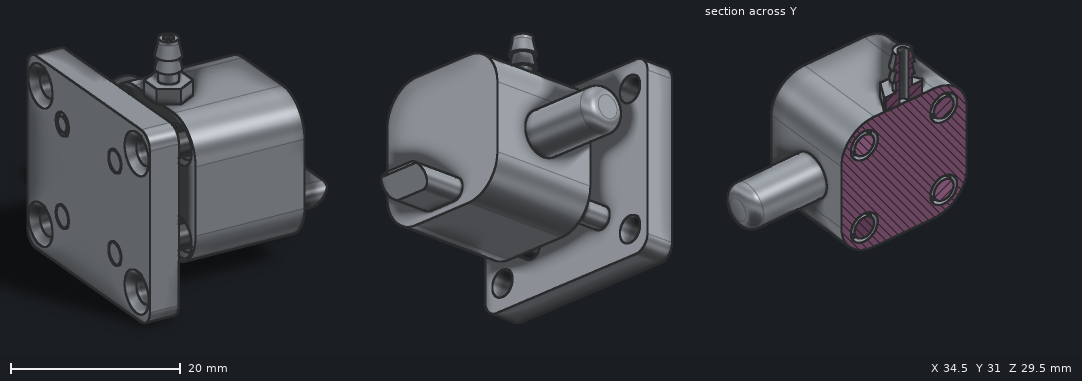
import cadquery as cq
import math


plate_width = 28.0
plate_height = 25.0
plate_thickness = 4.0
plate_corner_radius = 2.0
screw_spacing_x = 22.0
screw_spacing_z = 18.0
screw_hole_diameter = 3.5
countersink_diameter = 5.5

countersink_angle = 90.0

plate_gap = 5.0
housing_size = 19.0
housing_depth = 15.0
housing_corner_radius = 5.0
housing_front = plate_thickness + plate_gap
housing_back = housing_front + housing_depth

plunger_diameter = 6.0
plunger_length = 11.0
plunger_nose_radius = 1.5

tongue_width = 7.0
tongue_height = 3.0
tongue_length = 7.0
tongue_center_z = -7.0
tongue_lip_height = 0.4
tongue_bevel_length = 2.0

pin_diameter = 3.0
pin_spacing = 12.0
pin_chamfer = 0.15
marked_pin_chamfer = 0.5
pin_socket_depth = 5.0
clearance_diameter = 4.0
clearance_mouth_diameter = 5.2
clearance_depth = 3.0

fitting_setback = 2.0
hex_across_flats = 5.0
hex_height = 2.0
stem_diameter = 2.5
barb_diameter = 3.3
fitting_bore_diameter = 1.3
stem_length = 1.5
barb_length = 1.75
barb_count = 2
fitting_tip_length = 0.5

half_pitch = pin_spacing / 2
pin_places = [(x, z) for z in (half_pitch, -half_pitch) for x in (-half_pitch, half_pitch)]
marked_pin_place = (-half_pitch, half_pitch)


def face_plane(y):
    """Plane across Y with local axes X and Z; positive extrusion goes toward -Y."""
    return cq.Workplane("XZ", origin=(0, y, 0))


def make_plate():
    plate = face_plane(0).rect(plate_width, plate_height).extrude(-plate_thickness)
    plate = plate.edges("|Y").fillet(plate_corner_radius)
    plate = (
        plate.faces("<Y").workplane(origin=(0, 0, 0))
        .rect(screw_spacing_x, screw_spacing_z, forConstruction=True).vertices()
        .cskHole(screw_hole_diameter, countersink_diameter, countersink_angle)
    )
    pin_holes = face_plane(0).pushPoints(pin_places).circle(pin_diameter / 2).extrude(-plate_thickness)
    return plate.cut(pin_holes)


def make_plunger():
    center_y = (housing_front + housing_back) / 2
    plunger = (
        cq.Workplane("YZ", origin=(-housing_size / 2, center_y, 0))
        .circle(plunger_diameter / 2).extrude(-plunger_length)
    )
    return plunger.faces("<X").edges().fillet(plunger_nose_radius)


def make_tongue():
    tip_y = housing_back + tongue_length
    top_z = tongue_center_z + tongue_height / 2
    bottom_z = tongue_center_z - tongue_height / 2
    tongue = (
        face_plane(housing_back).center(0, tongue_center_z)
        .slot2D(tongue_width, tongue_height).extrude(-tongue_length)
    )
    bevel = (
        cq.Workplane("YZ")
        .moveTo(tip_y, top_z - tongue_lip_height)
        .lineTo(tip_y, bottom_z)
        .lineTo(tip_y - tongue_bevel_length, bottom_z)
        .close().extrude(tongue_width, both=True)
    )
    return tongue.cut(bevel)


def make_housing():
    block = face_plane(housing_front).rect(housing_size, housing_size).extrude(-housing_depth)
    block = block.edges("|Y").fillet(housing_corner_radius)
    block = (
        block.faces("<Y").workplane(origin=(0, 0, 0)).pushPoints(pin_places)
        .cskHole(clearance_diameter, clearance_mouth_diameter, countersink_angle, depth=clearance_depth)
    )
    sockets = (
        face_plane(housing_front).pushPoints(pin_places)
        .circle(pin_diameter / 2).extrude(-pin_socket_depth)
    )
    return block.cut(sockets).union(make_plunger()).union(make_tongue())


def make_pin(place):
    chamfer = marked_pin_chamfer if place == marked_pin_place else pin_chamfer
    pin = (
        face_plane(0).center(*place).circle(pin_diameter / 2)
        .extrude(-(housing_front + pin_socket_depth))
    )
    return pin.faces("<Y").edges().chamfer(chamfer)


def make_fitting():
    center_y = housing_front + fitting_setback
    stem_radius = stem_diameter / 2
    barb_radius = barb_diameter / 2
    base = cq.Workplane("XY", origin=(0, center_y, housing_size / 2))
    hex_across_corners = hex_across_flats / math.cos(math.pi / 6)
    hexagon = base.polygon(6, hex_across_corners).extrude(hex_height)

    profile = (
        cq.Workplane("XZ", origin=(0, center_y, housing_size / 2))
        .lineTo(stem_radius, 0)
        .lineTo(stem_radius, hex_height + stem_length)
    )
    for barb in range(barb_count):
        barb_bottom = hex_height + stem_length + barb * barb_length
        profile = profile.lineTo(barb_radius, barb_bottom).lineTo(stem_radius, barb_bottom + barb_length)
    fitting_height = hex_height + stem_length + barb_count * barb_length + fitting_tip_length
    profile = profile.lineTo(stem_radius, fitting_height).lineTo(0, fitting_height).close()
    stem = profile.revolve(360, (0, 0, 0), (0, 1, 0))

    bore = base.circle(fitting_bore_diameter / 2).extrude(fitting_height)
    return hexagon.union(stem).cut(bore)


plate = make_plate()
housing = make_housing()
fitting = make_fitting()
pins = [make_pin(place) for place in pin_places]

result = cq.Compound.makeCompound(
    [plate.val(), housing.val(), fitting.val(), *[pin.val() for pin in pins]]
)